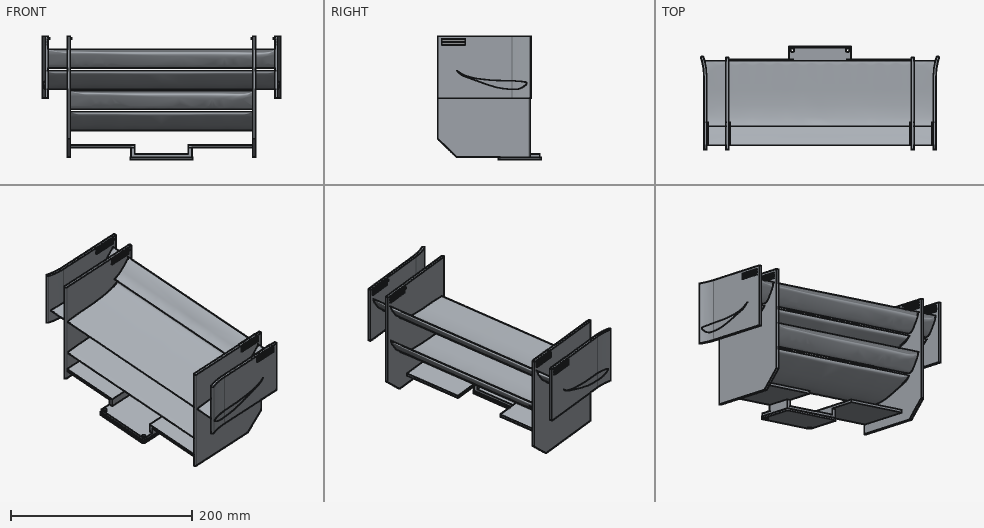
import cadquery as cq
import math

outer_half_width = 131.5
top_z = 136.0
plate_thickness = 3.2
edge_radius = plate_thickness / 2

inner_plate_face = 100.6
inner_plate_depth = 102.2
lower_corner_depth = 21.0
lower_corner_height = 20.2

outer_plate_face = 125.0
outer_plate_height = 68.3
flare_start = 81.5
flare_radius = 63.0

louvre_start = 4.7
louvre_length = 25.5
slot_height = 2.4
slot_pitch = 4.0
slot_drop = 3.2
rib_height = 1.5
rib_reach = 1.8

tier_drop = 45.5
main_leading_edge = (98.3, 84.5)
flap_leading_edge = (26.0, 102.2)

base_half_width = 34.7
base_front = 67.0
base_back = 114.3
base_thickness = 2.5
base_corner_radius = 2.0
tray_margin = 1.5
tray_half_width = 34.0
tray_thickness = 3.7
wall_inner_face = 29.5
floor_front = 34.2
floor_back = 99.8
floor_thickness = 3.2
floor_top = 16.3
hole_diameter = 4.0
hole_half_spacing = 30.5
hole_back_margin = 4.5


def box(x_range, y_range, z_range):
    """Box between two limits on each axis."""
    sizes = [high - low for low, high in (x_range, y_range, z_range)]
    return cq.Workplane("XY").box(*sizes, centered=False).translate((x_range[0], y_range[0], z_range[0]))


def mirrored(body):
    return body.mirror("YZ")


def foil(leading_edge, upper, trailing_edge, lower, half_span):
    """Foil along X; upper and lower are (Y, Z) offsets from the leading edge, listed front to back."""
    y, z = leading_edge
    offsets = [trailing_edge, *reversed(upper), (0, 0), *lower, trailing_edge]
    outline = [(y + dy, z + dz) for dy, dz in offsets]
    return cq.Workplane("YZ", origin=(-half_span, 0, 0)).spline(outline).close().extrude(2 * half_span)


def main_foil(half_span):
    upper = [(-5.8, 1.5), (-16.8, 2.4), (-32.5, 2.5), (-49.1, 4.0), (-62.3, 6.3), (-71.5, 9.7)]
    lower = [(-4.5, -4.7), (-16.8, -7.0), (-29.5, -5.8), (-46.8, -0.8), (-62.0, 4.7), (-72.0, 9.0)]
    return foil(main_leading_edge, upper, (-77.0, 13.7), lower, half_span)


def flap(half_span):
    upper = [(-3.5, 2.5), (-9.7, 7.0), (-16.0, 13.5)]
    lower = [(-2.4, -1.0), (-7.5, -0.8), (-14.7, 6.8), (-19.0, 13.5)]
    return foil(flap_leading_edge, upper, (-21.3, 19.7), lower, half_span)


def with_louvre(plate, inner_face):
    """Cut the two slots through a plate on the +X side and add the rib on its inner face."""
    y_range = (louvre_start, louvre_start + louvre_length)
    x_range = (inner_face, inner_face + plate_thickness)
    slots_top = top_z - slot_drop
    for index in range(2):
        slot_top = slots_top - index * slot_pitch
        plate = plate.cut(box(x_range, y_range, (slot_top - slot_height, slot_top)))
    return plate.union(box((inner_face - rib_reach, inner_face), y_range, (slots_top, slots_top + rib_height)))


def inner_plate():
    """Inner plate on the +X side, with a round rear edge and a cut lower front corner."""
    middle = inner_plate_face + edge_radius
    outer_face = inner_plate_face + plate_thickness
    round_start = inner_plate_depth - edge_radius
    plate = (
        cq.Workplane("XY", origin=(0, 0, base_thickness))
        .moveTo(inner_plate_face, 0)
        .lineTo(inner_plate_face, round_start)
        .threePointArc((middle, inner_plate_depth), (outer_face, round_start))
        .lineTo(outer_face, 0)
        .close()
        .extrude(top_z - base_thickness)
    )
    corner = (
        cq.Workplane("YZ", origin=(inner_plate_face, 0, 0))
        .moveTo(0, base_thickness)
        .lineTo(lower_corner_depth, base_thickness)
        .lineTo(0, base_thickness + lower_corner_height)
        .close()
        .extrude(plate_thickness)
    )
    return with_louvre(plate.cut(corner), inner_plate_face)


flare_centre = outer_plate_face + plate_thickness + flare_radius
flare_middle_radius = flare_radius + edge_radius
flare_angle = math.acos((flare_centre - outer_half_width + edge_radius) / flare_middle_radius)


def flare_point(radius, angle):
    return (flare_centre - radius * math.cos(angle), flare_start + radius * math.sin(angle))


def outer_plate():
    """Outer plate on the +X side, its rear end flared outward and rounded."""
    inner_radius = flare_radius + plate_thickness
    edge_angle = flare_angle + math.asin(edge_radius / flare_middle_radius)
    edge_distance = math.hypot(flare_middle_radius, edge_radius)
    plate = (
        cq.Workplane("XY", origin=(0, 0, top_z - outer_plate_height))
        .moveTo(outer_plate_face, 0)
        .lineTo(outer_plate_face, flare_start)
        .threePointArc(flare_point(inner_radius, flare_angle / 2), flare_point(inner_radius, flare_angle))
        .threePointArc(flare_point(edge_distance, edge_angle), flare_point(flare_radius, flare_angle))
        .threePointArc(flare_point(flare_radius, flare_angle / 2), flare_point(flare_radius, 0))
        .lineTo(outer_plate_face + plate_thickness, 0)
        .close()
        .extrude(outer_plate_height)
    )
    return with_louvre(plate, outer_plate_face)


def span_envelope():
    """Space between the outer faces of the two outer plates, ending where the flare's round edge starts."""
    x_end, y_end = flare_point(flare_radius, flare_angle)
    x_middle, y_middle = flare_point(flare_radius, flare_angle / 2)
    x_flat = outer_plate_face + plate_thickness
    return (
        cq.Workplane("XY")
        .moveTo(x_flat, 0)
        .lineTo(x_flat, flare_start)
        .threePointArc((x_middle, y_middle), (x_end, y_end))
        .lineTo(-x_end, y_end)
        .threePointArc((-x_middle, y_middle), (-x_flat, flare_start))
        .lineTo(-x_flat, 0)
        .close()
        .extrude(top_z)
    )


def mount():
    """Base plate with a drilled tray, two walls and the two floors that reach the inner plates."""
    base = box((-base_half_width, base_half_width), (base_front, base_back), (0, base_thickness))
    base = base.edges("|Z").fillet(base_corner_radius)
    tray_front = base_front + tray_margin
    tray_top = base_thickness + tray_thickness
    tray = box(
        (-tray_half_width, tray_half_width),
        (tray_front, base_back - tray_margin),
        (base_thickness, tray_top),
    )
    body = base.union(tray)

    floor_bottom = floor_top - floor_thickness
    wall = box((wall_inner_face, tray_half_width), (tray_front, floor_back), (tray_top, floor_bottom))
    floor = box((wall_inner_face, inner_plate_face), (floor_front, floor_back), (floor_bottom, floor_top))
    side = wall.union(floor)
    body = body.union(side).union(mirrored(side))

    hole_y = base_back - hole_back_margin
    holes = (
        cq.Workplane("XY")
        .pushPoints([(-hole_half_spacing, hole_y), (hole_half_spacing, hole_y)])
        .circle(hole_diameter / 2)
        .extrude(tray_top)
    )
    return body.cut(holes)


upper_main = main_foil(outer_half_width).intersect(span_envelope())
upper_flap = flap(outer_plate_face)
lower_main = main_foil(inner_plate_face).translate((0, 0, -tier_drop))
lower_flap = flap(inner_plate_face).translate((0, 0, -tier_drop))

right_inner = inner_plate().cut(upper_main).cut(upper_flap)
right_outer = outer_plate().cut(upper_main)

plates = []
for right_plate in (right_inner, right_outer):
    plates += [right_plate.val(), mirrored(right_plate).val()]

foils = [body.val() for body in (upper_main, upper_flap, lower_main, lower_flap)]

result = cq.Compound.makeCompound([*plates, *foils, mount().val()])